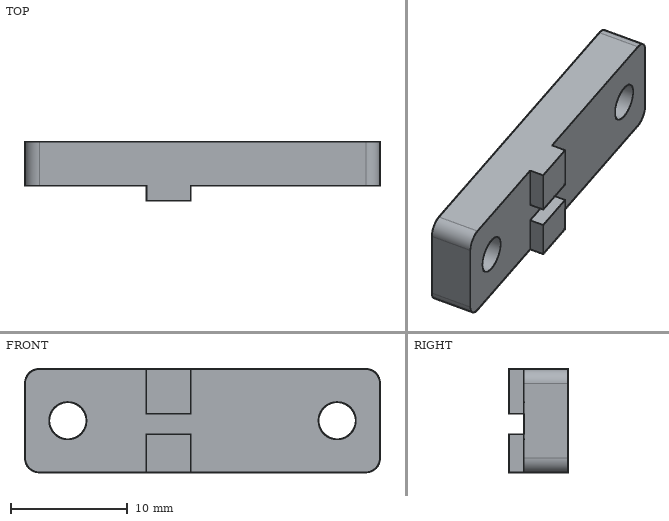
import cadquery as cq

plate_length = 30.47
plate_height = 8.9
plate_thickness = 3.8
corner_radius = 1.25

hole_diameter = 3.17
hole_spacing = 23.1

tab_width = 3.8
tab_projection = 1.28
tab_left = 10.42
upper_tab_height = 3.87
lower_tab_height = 3.3


def make_plate():
    """Rounded plate with its lower left front corner at the origin."""
    plate = cq.Workplane("XY").box(plate_length, plate_thickness, plate_height, centered=False)
    return plate.edges("|Y").fillet(corner_radius)


def make_holes():
    """Two cylinders through the plate, placed symmetrically about its middle."""
    return (
        cq.Workplane("XZ")
        .center(plate_length / 2, plate_height / 2)
        .pushPoints([(-hole_spacing / 2, 0), (hole_spacing / 2, 0)])
        .circle(hole_diameter / 2)
        .extrude(-plate_thickness)
    )


def make_tab(bottom, height):
    """Rectangular tab standing out from the front face."""
    tab = cq.Workplane("XY").box(tab_width, tab_projection, height, centered=False)
    return tab.translate((tab_left, -tab_projection, bottom))


result = (
    make_plate()
    .cut(make_holes())
    .union(make_tab(0, lower_tab_height))
    .union(make_tab(plate_height - upper_tab_height, upper_tab_height))
)